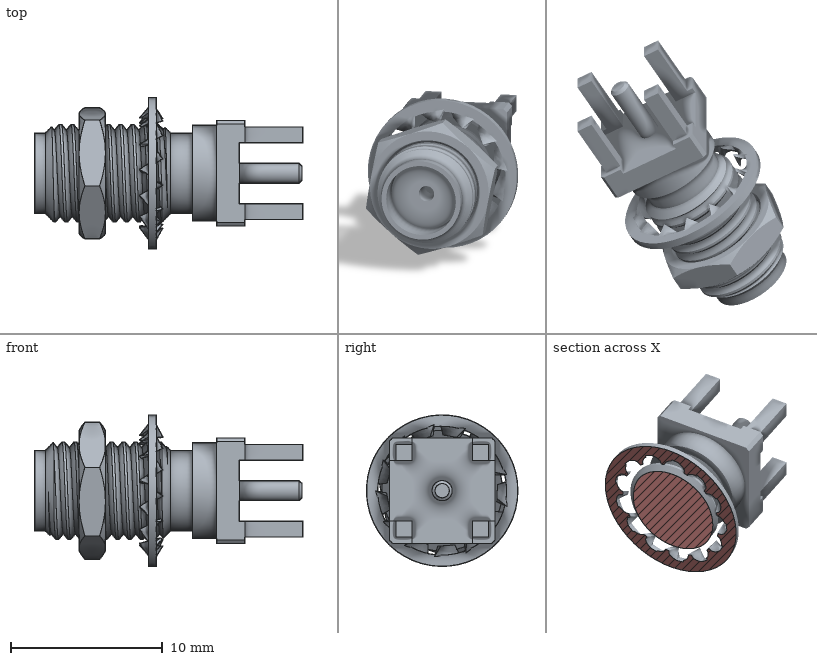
import cadquery as cq
import math


COLLAR_RADIUS = 2.65
THREAD_RADIUS = 3.22
THREAD_START = 0.7
THREAD_END = 8.96
FLANGE_START = 10.4
FLANGE_RADIUS = 3.16
BORE_RADIUS = 2.33
BORE_DEPTH = 1.95
SOCKET_RADIUS = 0.51
SOCKET_DEPTH = 2.12

THREAD_PITCH = 0.8
THREAD_DEPTH = 0.37
GROOVE_HALF_ANGLE = 40.0
GROOVE_CLEARANCE = 0.04
GROOVE_OUTER_RADIUS = THREAD_RADIUS + GROOVE_CLEARANCE
GROOVE_START = 0.3
GROOVE_TURNS = 11.3

TOTAL_LENGTH = 17.68
PLATE_START = 11.99
PLATE_SIZE = 6.97
PLATE_THICKNESS = 1.5
PLATE_CHAMFER = 0.23
PAD_HEIGHT = 0.37
PAD_GAP = 4.0
POST_SIZE = 1.06
PIN_DIAMETER = 1.33
PIN_END = 17.63
PIN_CHAMFER = 0.2

NUT_START = 2.93
NUT_THICKNESS = 1.73
NUT_ACROSS_FLATS = 7.95
NUT_TURN = 10.4
NUT_CHAMFER_ANGLE = 32.0
NUT_COUNTERSINK = 0.16

WASHER_START = 7.5
WASHER_THICKNESS = 0.53
WASHER_OUTER_DIAMETER = 9.99
WASHER_INNER_RADIUS = 4.25
TOOTH_COUNT = 13
TOOTH_ROOT_WIDTH = 1.7
TOOTH_ROOT_THICKNESS = 0.51
TOOTH_EMBED = 0.07
TOOTH_TIP_DISTANCE = 3.62
TOOTH_TIP_LENGTH = 1.68
TOOTH_TIP_THICKNESS = 0.25
TOOTH_TWIST = -57.0
TOOTH_TIP_SHIFT = -0.09
FIRST_TOOTH_ANGLE = 18.1


def barrel_envelope():
    """Smooth outline of the barrel, bevelled at 45 degrees from the crests to the collar and the neck."""
    bevel = THREAD_RADIUS - COLLAR_RADIUS
    return (
        cq.Workplane("XZ")
        .polyline([
            (0, 0),
            (0, COLLAR_RADIUS),
            (THREAD_START, COLLAR_RADIUS),
            (THREAD_START + bevel, THREAD_RADIUS),
            (THREAD_END - bevel, THREAD_RADIUS),
            (THREAD_END, COLLAR_RADIUS),
            (FLANGE_START, COLLAR_RADIUS),
            (FLANGE_START, 0),
        ])
        .close()
        .revolve(360, (0, 0, 0), (1, 0, 0))
    )


def thread_groove():
    """V groove swept along a helix about Z, then laid down along X."""
    root_radius = THREAD_RADIUS - THREAD_DEPTH
    half_width = (GROOVE_OUTER_RADIUS - root_radius) * math.tan(math.radians(GROOVE_HALF_ANGLE))
    path = cq.Wire.makeHelix(THREAD_PITCH, GROOVE_TURNS * THREAD_PITCH, root_radius)
    groove = (
        cq.Workplane("XZ")
        .polyline([
            (root_radius, 0),
            (GROOVE_OUTER_RADIUS, half_width),
            (GROOVE_OUTER_RADIUS, -half_width),
        ])
        .close()
        .sweep(cq.Workplane(path), isFrenet=True)
    )
    return (
        groove
        .rotate((0, 0, 0), (0, 1, 0), 90)
        .translate((GROOVE_START, 0, 0))
    )


def threaded_barrel():
    """Threaded rod trimmed to the barrel outline, so the groove runs out on both bevels."""
    rod = cq.Workplane("YZ").circle(THREAD_RADIUS).extrude(FLANGE_START)
    return rod.cut(thread_groove()).intersect(barrel_envelope())


def flange():
    return (
        cq.Workplane("YZ", origin=(FLANGE_START, 0, 0))
        .circle(FLANGE_RADIUS)
        .extrude(PLATE_START - FLANGE_START)
    )


def plate():
    """Square plate with chamfered corners; a cross-shaped recess leaves one pad at each corner."""
    blank = (
        cq.Workplane("YZ", origin=(PLATE_START, 0, 0))
        .rect(PLATE_SIZE, PLATE_SIZE)
        .extrude(PLATE_THICKNESS + PAD_HEIGHT)
        .edges("|X")
        .chamfer(PLATE_CHAMFER)
    )
    recess_plane = cq.Workplane("YZ", origin=(PLATE_START + PLATE_THICKNESS, 0, 0))
    upright = recess_plane.rect(PAD_GAP, PLATE_SIZE).extrude(PAD_HEIGHT)
    crosswise = recess_plane.rect(PLATE_SIZE, PAD_GAP).extrude(PAD_HEIGHT)
    return blank.cut(upright).cut(crosswise)


def posts():
    """Four square posts standing on the inner corners of the pads."""
    foot = PLATE_START + PLATE_THICKNESS
    spacing = PAD_GAP + POST_SIZE
    return (
        cq.Workplane("YZ", origin=(foot, 0, 0))
        .rect(spacing, spacing, forConstruction=True)
        .vertices()
        .rect(POST_SIZE, POST_SIZE)
        .extrude(TOTAL_LENGTH - foot)
    )


def centre_pin():
    foot = PLATE_START + PLATE_THICKNESS
    return (
        cq.Workplane("YZ", origin=(foot, 0, 0))
        .circle(PIN_DIAMETER / 2)
        .extrude(PIN_END - foot)
        .faces(">X")
        .chamfer(PIN_CHAMFER)
    )


def make_connector():
    bore = cq.Workplane("YZ").circle(BORE_RADIUS).extrude(BORE_DEPTH)
    socket = cq.Workplane("YZ").circle(SOCKET_RADIUS).extrude(BORE_DEPTH + SOCKET_DEPTH)
    body = threaded_barrel().union(flange()).union(plate()).union(posts()).union(centre_pin())
    return body.cut(bore).cut(socket)


def make_nut():
    """Hexagon with conical corner chamfers and a countersunk bore that rides on the thread crests."""
    inscribed_radius = NUT_ACROSS_FLATS / 2
    corner_radius = inscribed_radius / math.cos(math.pi / 6)
    chamfer_depth = (corner_radius - inscribed_radius) * math.tan(math.radians(NUT_CHAMFER_ANGLE))
    nut_end = NUT_START + NUT_THICKNESS
    mouth_radius = THREAD_RADIUS + NUT_COUNTERSINK
    hexagon = (
        cq.Workplane("YZ", origin=(NUT_START, 0, 0))
        .polygon(6, 2 * corner_radius)
        .extrude(NUT_THICKNESS)
        .rotate((0, 0, 0), (1, 0, 0), 90 + NUT_TURN)
    )
    envelope = (
        cq.Workplane("XZ")
        .polyline([
            (NUT_START, mouth_radius),
            (NUT_START, inscribed_radius),
            (NUT_START + chamfer_depth, corner_radius),
            (nut_end - chamfer_depth, corner_radius),
            (nut_end, inscribed_radius),
            (nut_end, mouth_radius),
            (nut_end - NUT_COUNTERSINK, THREAD_RADIUS),
            (NUT_START + NUT_COUNTERSINK, THREAD_RADIUS),
        ])
        .close()
        .revolve(360, (0, 0, 0), (1, 0, 0))
    )
    return hexagon.intersect(envelope)


def washer_tooth():
    """Tooth at +Z: its root lies flat in the ring and its inner edge is twisted out of both faces."""
    middle = WASHER_START + WASHER_THICKNESS / 2
    root_distance = WASHER_INNER_RADIUS + TOOTH_EMBED
    return (
        cq.Workplane("XY", origin=(middle, 0, root_distance))
        .rect(TOOTH_ROOT_THICKNESS, TOOTH_ROOT_WIDTH)
        .workplane(offset=TOOTH_TIP_DISTANCE - root_distance)
        .center(TOOTH_TIP_SHIFT, 0)
        .transformed(rotate=(0, 0, TOOTH_TWIST))
        .rect(TOOTH_TIP_THICKNESS, TOOTH_TIP_LENGTH)
        .loft(ruled=True)
    )


def make_washer():
    washer = (
        cq.Workplane("YZ", origin=(WASHER_START, 0, 0))
        .circle(WASHER_OUTER_DIAMETER / 2)
        .circle(WASHER_INNER_RADIUS)
        .extrude(WASHER_THICKNESS)
    )
    tooth = washer_tooth()
    for index in range(TOOTH_COUNT):
        angle = FIRST_TOOTH_ANGLE + index * 360 / TOOTH_COUNT
        washer = washer.union(tooth.rotate((0, 0, 0), (1, 0, 0), angle))
    return washer


connector = make_connector()
nut = make_nut()
lock_washer = make_washer()

result = cq.Compound.makeCompound([connector.solids().val(), nut.solids().val(), lock_washer.solids().val()])